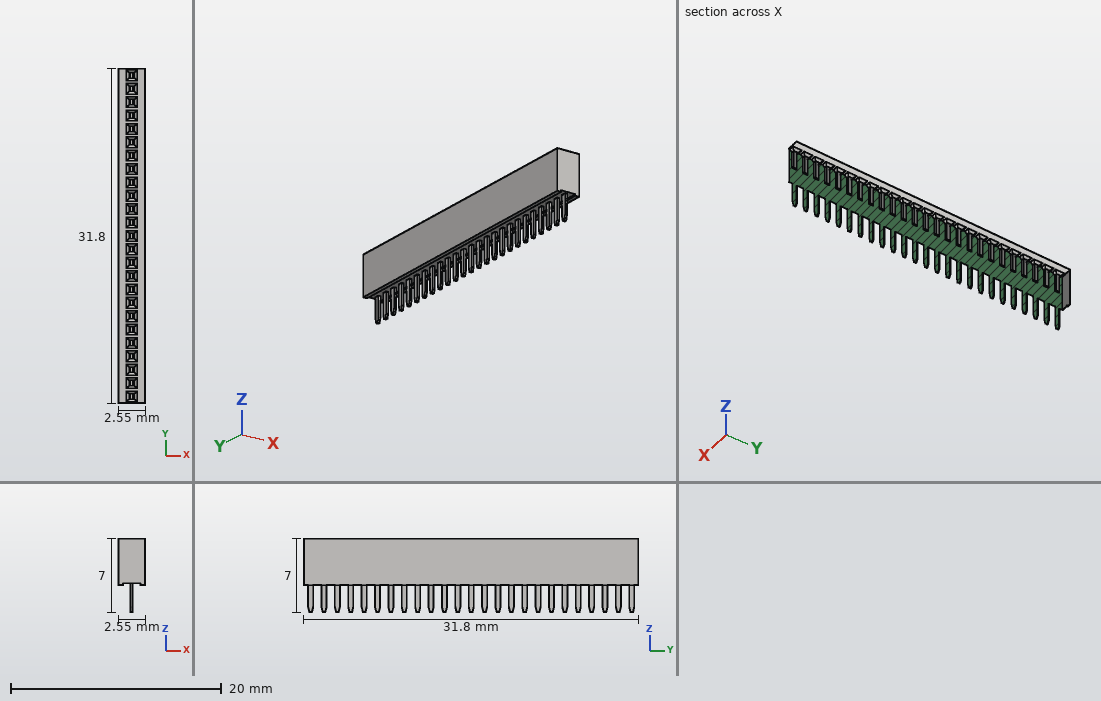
import cadquery as cq

contact_count = 25
pitch = 1.27
length = contact_count * pitch
width = 2.55
total_height = 7.0
body_height = 4.4
body_bottom = total_height - body_height

rail_width = 0.45
rail_height = 0.15

funnel_mouth = 1.02
hole_side = 0.5
funnel_depth = 0.25
hole_depth = 2.55

pin_thickness = 0.238
pin_width = hole_side
pin_tip_width = pin_width / 2
pin_taper_length = 0.5
pin_head = 0.32
pin_top = total_height - hole_depth + pin_head

contact_points = [(0, (i - (contact_count - 1) / 2) * pitch) for i in range(contact_count)]


def make_body():
    """Rectangular housing with a channel along its underside."""
    housing = cq.Workplane("XY").workplane(offset=body_bottom).rect(width, length).extrude(body_height)
    channel = (
        cq.Workplane("XY")
        .workplane(offset=body_bottom)
        .rect(width - 2 * rail_width, length)
        .extrude(rail_height)
    )
    return housing.cut(channel)


def make_socket():
    """Cutting shape for one socket, centred on the Z axis."""
    funnel = (
        cq.Workplane("XY")
        .workplane(offset=total_height)
        .rect(funnel_mouth, funnel_mouth)
        .workplane(offset=-funnel_depth)
        .rect(hole_side, hole_side)
        .loft(combine=True)
    )
    hole = (
        cq.Workplane("XY")
        .workplane(offset=total_height - hole_depth)
        .rect(hole_side, hole_side)
        .extrude(hole_depth - funnel_depth)
    )
    return funnel.union(hole)


def make_pin():
    """One flat pin from its head inside the socket down to its tapered tip."""
    half_width = pin_width / 2
    half_tip = pin_tip_width / 2
    outline = [
        (-half_tip, 0),
        (half_tip, 0),
        (half_width, pin_taper_length),
        (half_width, pin_top),
        (-half_width, pin_top),
        (-half_width, pin_taper_length),
    ]
    return cq.Workplane("YZ").polyline(outline).close().extrude(pin_thickness / 2, both=True)


def at_every_contact(shape):
    """Copies of a shape at every contact position."""
    solid = shape.val()
    return cq.Workplane("XY").pushPoints(contact_points).eachpoint(lambda place: solid.moved(place))


sockets = at_every_contact(make_socket())
pins = at_every_contact(make_pin())
result = make_body().cut(sockets).union(pins)